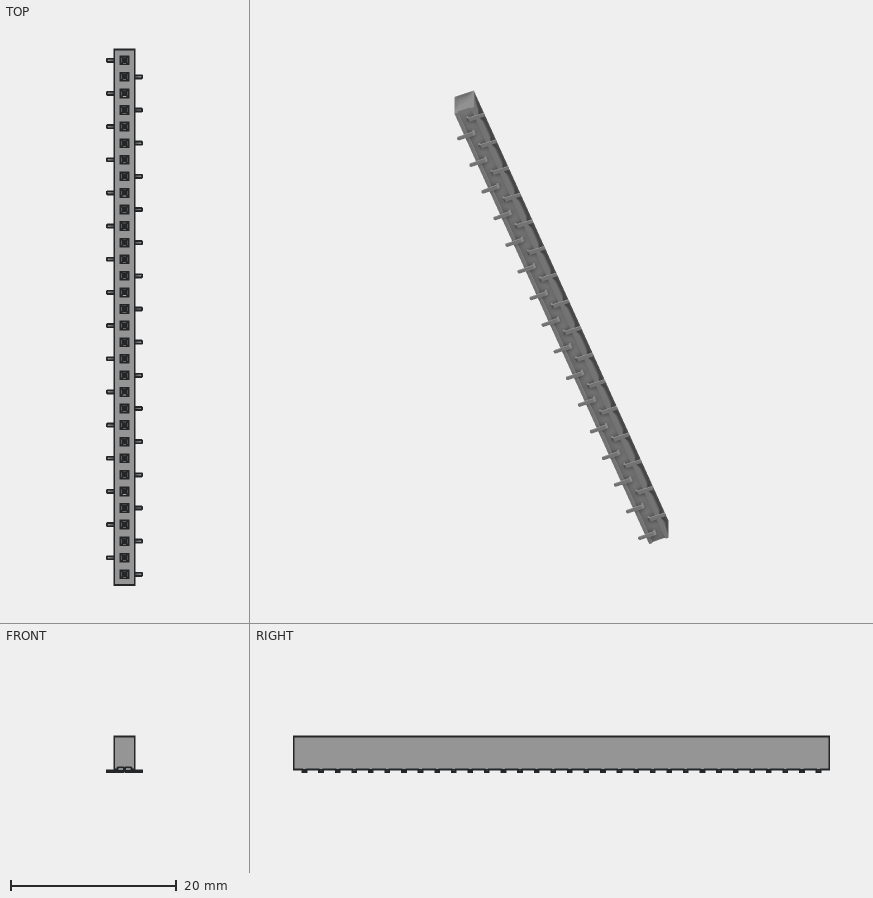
import cadquery as cq
import math

contact_count = 32
pitch = 2.0
overall_width = 4.3
overall_height = 4.3

end_margin = 1.3
body_width = 2.5
body_length = (contact_count - 1) * pitch + 2 * end_margin
standoff = 0.3

channel_mouth_width = 1.7
channel_roof_width = 1.6
channel_depth = 0.25
channel_roof_z = standoff + channel_depth

entry_width = 1.0
socket_width = 0.5
funnel_depth = (entry_width - socket_width) / 2
socket_depth = 3.0

contact_thickness = 0.2
blade_width = 0.42
shank_width = 0.5
shank_reach = 1.2
tip_length = 0.1
tip_width = 0.15
bend_inner_radius = 0.1
stem_top = 2.0


def make_housing():
    """Rectangular bar standing on two long feet either side of the channel."""
    half_body = body_width / 2
    half_mouth = channel_mouth_width / 2
    half_roof = channel_roof_width / 2
    outline = [
        (-half_body, standoff),
        (-half_body, overall_height),
        (half_body, overall_height),
        (half_body, standoff),
        (half_mouth, standoff),
        (half_roof, channel_roof_z),
        (-half_roof, channel_roof_z),
        (-half_mouth, standoff),
    ]
    return cq.Workplane("XZ").polyline(outline).close().extrude(body_length / 2, both=True)


def make_socket(y):
    """Cutting tool for one socket: a square funnel above a straight square hole."""
    top = cq.Workplane("XY", origin=(0, y, overall_height))
    funnel = (
        top.rect(entry_width, entry_width)
        .workplane(offset=-funnel_depth)
        .rect(socket_width, socket_width)
        .loft(ruled=True)
    )
    hole = top.rect(socket_width, socket_width).extrude(-socket_depth)
    return funnel.union(hole)


def make_blade_envelope(y, side):
    """Tall prism with the plan shape of the narrow stem and tail, ending in a tapered tip."""
    reach = overall_width / 2
    shoulder = reach - tip_length
    root = -contact_thickness / 2
    half_blade = blade_width / 2
    half_tip = tip_width / 2
    outline = [
        (side * root, y - half_blade),
        (side * shoulder, y - half_blade),
        (side * reach, y - half_tip),
        (side * reach, y + half_tip),
        (side * shoulder, y + half_blade),
        (side * root, y + half_blade),
    ]
    return cq.Workplane("XY").polyline(outline).close().extrude(overall_height)


def make_contact(y, side):
    """One contact: a stem bent at Z = 0 into a flat tail toward side (+1 or -1) in X."""
    half = contact_thickness / 2
    reach = side * overall_width / 2
    outer_radius = bend_inner_radius + contact_thickness
    bend_x = side * (half + bend_inner_radius)
    bend_z = outer_radius
    diagonal = math.cos(math.radians(45))
    outer_mid = outer_radius * diagonal
    inner_mid = bend_inner_radius * diagonal
    profile = (
        cq.Workplane("XZ", origin=(0, y, 0))
        .moveTo(side * half, stem_top)
        .lineTo(-side * half, stem_top)
        .lineTo(-side * half, bend_z)
        .threePointArc((bend_x - side * outer_mid, bend_z - outer_mid), (bend_x, 0))
        .lineTo(reach, 0)
        .lineTo(reach, contact_thickness)
        .lineTo(bend_x, contact_thickness)
        .threePointArc((bend_x - side * inner_mid, bend_z - inner_mid), (side * half, bend_z))
        .close()
    )
    shank = (
        cq.Workplane("XY", origin=(0, y, 0))
        .rect(2 * shank_reach, shank_width)
        .extrude(channel_roof_z)
    )
    strip = profile.extrude(shank_width / 2, both=True)
    return strip.intersect(make_blade_envelope(y, side).union(shank))


sockets = cq.Workplane("XY")
contacts = cq.Workplane("XY")
for index in range(contact_count):
    contact_y = (index - (contact_count - 1) / 2) * pitch
    contact_side = 1 if index % 2 == 0 else -1
    sockets.add(make_socket(contact_y))
    contacts.add(make_contact(contact_y, contact_side))

result = make_housing().cut(sockets.combine()).union(contacts.combine())